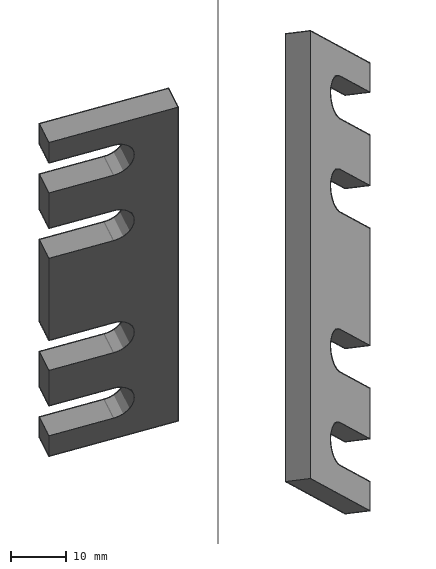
import cadquery as cq

thickness = 5.0
width = 25.0
height = 84.0

slot_width = 8.0
slot_end_y = 0.0
inner_slot_offset = 15.0
slot_pitch = 17.5

open_edge_y = -width / 2
outer_slot_offset = inner_slot_offset + slot_pitch


def make_plate():
    return cq.Workplane("XY").box(thickness, width, height)


def make_slot(center_z):
    """Round-ended slot through the full thickness, open at the -Y edge."""
    radius = slot_width / 2
    return (
        cq.Workplane("YZ")
        .workplane(offset=-thickness / 2)
        .moveTo(open_edge_y, center_z - radius)
        .lineTo(slot_end_y, center_z - radius)
        .threePointArc((slot_end_y + radius, center_z), (slot_end_y, center_z + radius))
        .lineTo(open_edge_y, center_z + radius)
        .close()
        .extrude(thickness)
    )


result = make_plate()
for offset in (inner_slot_offset, outer_slot_offset):
    for side in (-1, 1):
        result = result.cut(make_slot(side * offset))